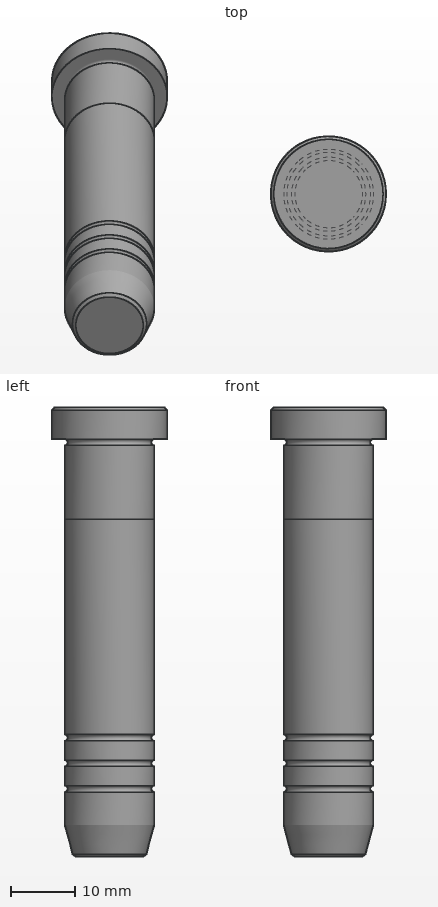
import cadquery as cq
import math

total_length = 70.0
head_diameter = 18.0
head_height = 5.0
head_chamfer = 0.5
shank_diameter = 14.0
joint_height = 52.6

groove_radius = 0.5
lowest_groove_height = 10.6
groove_pitch = 4.0
groove_count = 3

taper_height = 5.0
taper_angle = 15.0
tip_chamfer = 0.4

shank_radius = shank_diameter / 2
head_underside = total_length - head_height
undercut_height = head_underside - groove_radius


def groove_cutter(height):
    """Ring of round section, centred on the shank surface at the given height."""
    return cq.Workplane("XY").add(
        cq.Solid.makeTorus(shank_radius, groove_radius, cq.Vector(0, 0, height), cq.Vector(0, 0, 1))
    )


def make_headed_end():
    """Upper body: the chamfered head, its undercut and the short shank below it."""
    head = (
        cq.Workplane("XY")
        .workplane(offset=head_underside)
        .circle(head_diameter / 2)
        .extrude(head_height)
        .faces(">Z")
        .chamfer(head_chamfer)
    )
    neck = (
        cq.Workplane("XY")
        .workplane(offset=joint_height)
        .circle(shank_radius)
        .extrude(head_underside - joint_height)
        .cut(groove_cutter(undercut_height))
    )
    return head.union(neck)


def make_guide_pin():
    """Lower body: the grooved shank with its tapered and chamfered tip."""
    tip_radius = shank_radius - taper_height * math.tan(math.radians(taper_angle))
    pin = (
        cq.Workplane("XZ")
        .polyline([
            (0, 0),
            (tip_radius, 0),
            (shank_radius, taper_height),
            (shank_radius, joint_height),
            (0, joint_height),
        ])
        .close()
        .revolve(360, (0, 0, 0), (0, 1, 0))
        .faces("<Z")
        .chamfer(tip_chamfer)
    )
    for index in range(groove_count):
        pin = pin.cut(groove_cutter(lowest_groove_height + index * groove_pitch))
    return pin


headed_end = make_headed_end()
guide_pin = make_guide_pin()

result = cq.Compound.makeCompound([headed_end.val(), guide_pin.val()])